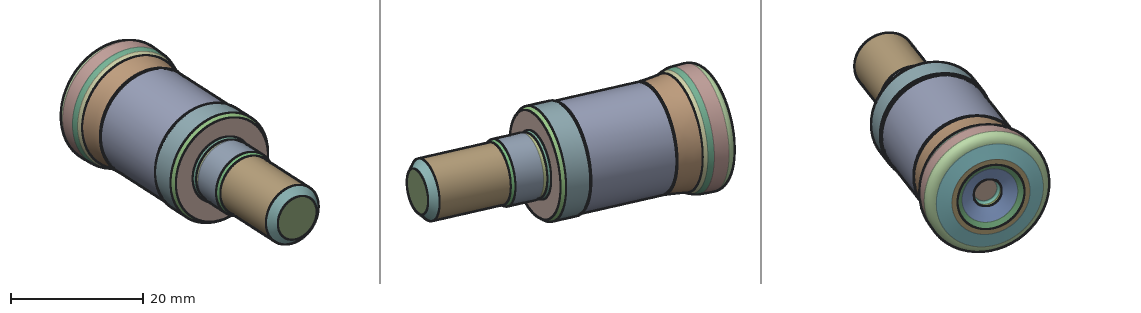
import cadquery as cq
import math

total_length = 50.0

cap_length = 6.2
cap_radius = 10.0
crown_x = 2.1
face_rim_x = 0.55
face_rim_radius = 8.6
face_flat_radius = 6.275
band_end_x = 4.55
band_end_radius = 9.9
shoulder_x = 5.5
shoulder_radius = 9.6
cap_back_radius = 9.25

recess_radius = 5.375
recess_step_depth = 0.5
cone_radius = 4.475
cone_depth = 1.5
socket_radius = 2.25
socket_depth = 2.6
socket_fillet = 0.4

grip_radius = 17.6 / 2
flare_end_x = 10.25
flare_sag = 0.05
groove_width = 0.2
groove_depth = 0.15
collar_radius = 18.0 / 2
collar_x = 25.0
collar_end_x = 30.0
collar_chamfer = 0.7
collar_chamfer_height = 0.5

pilot_radius = 10.5 / 2
relief_start_radius = 5.4
relief_radius = 5.1
relief_x = 30.5
pilot_x = 31.2
pilot_end_x = 36.0
shank_x = 36.6
shank_radius = 9.75 / 2
tip_chamfer = 1.3


def revolve_about_x(profile):
    """Turn a closed XY profile about the X axis into a solid."""
    return profile.close().revolve(360, (0, 0, 0), (1, 0, 0))


def make_cap():
    """Domed cap with a stepped, conical recess and a blind socket."""
    edge_bulge = 0.707
    edge_middle = (
        crown_x - (crown_x - face_rim_x) * edge_bulge,
        face_rim_radius + (cap_radius - face_rim_radius) * edge_bulge,
    )
    fillet_offset = socket_fillet * (1 - math.sqrt(0.5))
    profile = (
        cq.Workplane("XY")
        .moveTo(socket_depth, 0)
        .lineTo(socket_depth, socket_radius - socket_fillet)
        .threePointArc(
            (socket_depth - fillet_offset, socket_radius - fillet_offset),
            (socket_depth - socket_fillet, socket_radius),
        )
        .lineTo(cone_depth, socket_radius)
        .lineTo(recess_step_depth, cone_radius)
        .lineTo(0, recess_radius)
        .lineTo(0, face_flat_radius)
        .lineTo(face_rim_x, face_rim_radius)
        .threePointArc(edge_middle, (crown_x, cap_radius))
        .lineTo(band_end_x, band_end_radius)
        .lineTo(shoulder_x, shoulder_radius)
        .lineTo(cap_length, cap_back_radius)
        .lineTo(cap_length, 0)
    )
    return revolve_about_x(profile)


def make_body():
    """Flared grip, collar and stepped shank in one piece."""
    groove_bottom = grip_radius - groove_depth

    flare_middle = (
        (cap_length + flare_end_x) / 2,
        (cap_back_radius + grip_radius) / 2 - flare_sag,
    )

    profile = (
        cq.Workplane("XY")
        .moveTo(cap_length, 0)
        .lineTo(cap_length, cap_back_radius)
        .threePointArc(flare_middle, (flare_end_x, grip_radius))
        .lineTo(flare_end_x + groove_width / 2, groove_bottom)
        .lineTo(flare_end_x + groove_width, grip_radius)
        .lineTo(collar_x - groove_width / 2, grip_radius)
        .lineTo(collar_x, groove_bottom)
        .lineTo(collar_x + groove_width, collar_radius)
        .lineTo(collar_end_x - collar_chamfer, collar_radius)
        .lineTo(collar_end_x, collar_radius - collar_chamfer_height)
        .lineTo(collar_end_x, relief_start_radius)
        .lineTo(relief_x, relief_radius)
        .lineTo(pilot_x, pilot_radius)
        .lineTo(pilot_end_x, pilot_radius)
        .lineTo(shank_x, shank_radius)
        .lineTo(total_length - tip_chamfer, shank_radius)
        .lineTo(total_length, shank_radius - tip_chamfer)
        .lineTo(total_length, 0)
    )
    return revolve_about_x(profile)


cap = make_cap()
body = make_body()
result = cq.Compound.makeCompound([cap.val(), body.val()])